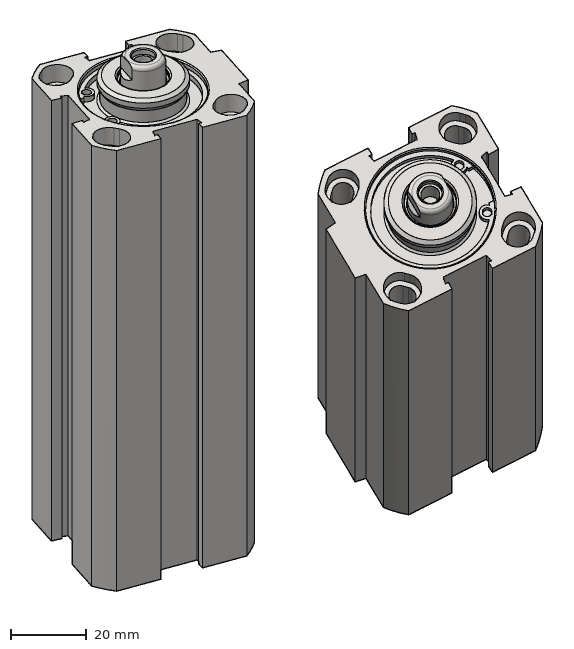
import cadquery as cq
import math

total_height = 150.5
housing_height = 139.5

half_width = 23.0
total_depth = 51.0
boss_height = 3.0
corner_radius = 30.0
boss_half_root = 8.5
boss_half_tip = 8.0

slot_floor = 19.0
slot_lip_inner = 20.9
slot_half_mouth = 6.3
slot_half_lip = 6.0
slot_half_undercut = 6.9
slot_half_floor = 6.5

mount_x = 16.5
mount_y = 17.5
mount_stretch = 1.5
mount_bore = 5.7
mount_counterbore = 8.6
mount_counterbore_depth = 5.5

seat_diameter = 34.2
seat_mouth = 34.9
seat_mouth_depth = 0.3
seat_depth = 22.5
ring_groove_diameter = 35.8

ring_top_depth = 1.5
ring_thickness = 1.7
ring_inner = 31.5
ring_half_gap = 5.5
ring_lug_x = 7.7
ring_lug_y = 13.0
ring_lug_radius = 2.1
ring_lug_hole = 2.5

collar_top = 144.2
collar_diameter = 24.5
collar_neck = 23.0
collar_foot_height = 0.5
collar_face_diameter = 22.1
collar_chamfer_bottom = 143.5
collar_cone_top = 141.8
collar_cone_bottom = 140.5
wiper_recess = 14.0
wiper_recess_mouth = 14.9
wiper_recess_depth = 1.5
wiper_lip = 13.7
wiper_lip_height = 0.6
rod_hole = 12.5

rod_diameter = 12.0
rod_tip_rounding = 1.2
flat_offset = 5.0
flat_bottom = 146.1
tap_diameter = 5.0
tap_depth = 9.0
tap_relief_diameter = 6.3
tap_relief_depth = 1.8
tap_mouth = 6.9
drill_point_angle = 170.0

half_depth = (total_depth - boss_height) / 2
boss_face = half_depth + boss_height
ring_top = housing_height - ring_top_depth
ring_bottom = ring_top - ring_thickness
seat_bottom = housing_height - seat_depth
seat_radius = seat_diameter / 2
groove_radius = ring_groove_diameter / 2
rod_radius = rod_diameter / 2


def revolved(points):
    """Solid of revolution about Z from (radius, height) points."""
    return cq.Workplane("XZ").polyline(points).close().revolve(360, (0, 0), (0, 1))


def cylinder(diameter, bottom, top):
    return cq.Workplane("XY").workplane(offset=bottom).circle(diameter / 2).extrude(top - bottom)


def housing_block():
    """Rectangular bar with corners rounded about the axis and a tapered boss on +Y."""
    bar = cq.Workplane("XY").rect(2 * half_width, 2 * half_depth).extrude(housing_height)
    bar = bar.intersect(cylinder(2 * corner_radius, 0, housing_height))
    boss = (
        cq.Workplane("XY")
        .polyline([
            (-boss_half_root, 0),
            (-boss_half_root, half_depth),
            (-boss_half_tip, boss_face),
            (boss_half_tip, boss_face),
            (boss_half_root, half_depth),
            (boss_half_root, 0),
        ])
        .close()
        .extrude(housing_height)
    )
    return bar.union(boss)


def sensor_slot(angle):
    """Undercut slot along the full height, facing -Y at angle zero and turned about Z."""
    half = [
        (slot_half_mouth, -boss_face),
        (slot_half_lip, -slot_lip_inner),
        (slot_half_undercut, -slot_lip_inner),
        (slot_half_floor, -slot_floor),
    ]
    mirrored = [(-x, y) for x, y in reversed(half)]
    slot = cq.Workplane("XY").polyline(half + mirrored).close().extrude(housing_height)
    return slot.rotate((0, 0, 0), (0, 0, 1), angle)


def mounting_hole(x_side, y_side):
    """Stretched through hole with a stretched counterbore at the top."""
    angle = -45 * x_side * y_side

    def stretched(diameter, bottom):
        return (
            cq.Workplane("XY")
            .workplane(offset=bottom)
            .center(x_side * mount_x, y_side * mount_y)
            .slot2D(diameter + mount_stretch, diameter, angle)
            .extrude(housing_height - bottom)
        )

    counterbore_floor = housing_height - mount_counterbore_depth
    return stretched(mount_bore, 0).union(stretched(mount_counterbore, counterbore_floor))


def cover_seat():
    """Blind bore for the cover, with a chamfered mouth and the groove for the retaining ring."""
    return revolved([
        (0, seat_bottom),
        (seat_radius, seat_bottom),
        (seat_radius, ring_bottom),
        (groove_radius, ring_bottom),
        (groove_radius, ring_top),
        (seat_radius, ring_top),
        (seat_radius, housing_height - seat_mouth_depth),
        (seat_mouth / 2, housing_height),
        (0, housing_height),
    ])


def make_housing():
    housing = housing_block()
    for angle in (-90, 0, 90):
        housing = housing.cut(sensor_slot(angle))
    for x_side in (-1, 1):
        for y_side in (-1, 1):
            housing = housing.cut(mounting_hole(x_side, y_side))
    return housing.cut(cover_seat())


def make_cover():
    """Disc seated in the housing below the ring, with a raised collar around the rod.

    The collar rises from a small conical foot and is undercut below its rim. Around the rod its
    top has a stepped wiper recess.
    """
    mouth_depth = (wiper_recess_mouth - wiper_recess) / 2
    recess_bottom = collar_top - wiper_recess_depth
    return revolved([
        (rod_hole / 2, seat_bottom),
        (seat_radius, seat_bottom),
        (seat_radius, ring_bottom),
        (collar_diameter / 2, ring_bottom),
        (collar_neck / 2, ring_bottom + collar_foot_height),
        (collar_neck / 2, collar_cone_bottom),
        (collar_diameter / 2, collar_cone_top),
        (collar_diameter / 2, collar_chamfer_bottom),
        (collar_face_diameter / 2, collar_top),
        (wiper_recess_mouth / 2, collar_top),
        (wiper_recess / 2, collar_top - mouth_depth),
        (wiper_recess / 2, recess_bottom + wiper_lip_height),
        (wiper_lip / 2, recess_bottom + wiper_lip_height),
        (wiper_lip / 2, recess_bottom),
        (rod_hole / 2, recess_bottom),
    ])


def make_ring():
    """Open ring with two drilled lugs beside its gap on the -Y side."""
    lug_centres = [(-ring_lug_x, -ring_lug_y), (ring_lug_x, -ring_lug_y)]
    base = cq.Workplane("XY").workplane(offset=ring_bottom)
    ring = base.circle(groove_radius).circle(ring_inner / 2).extrude(ring_thickness)
    gap = base.center(0, -groove_radius).rect(2 * ring_half_gap, groove_radius).extrude(ring_thickness)
    lugs = base.pushPoints(lug_centres).circle(ring_lug_radius).extrude(ring_thickness)
    holes = base.pushPoints(lug_centres).circle(ring_lug_hole / 2).extrude(ring_thickness)
    return ring.cut(gap).union(lugs).cut(holes)


def tapped_hole():
    """Blind hole in the rod end with a wider, chamfered relief at its mouth and a shallow conical bottom."""
    tap_radius = tap_diameter / 2
    tap_bottom = total_height - tap_depth
    point_height = tap_radius / math.tan(math.radians(drill_point_angle / 2))
    mouth_depth = (tap_mouth - tap_relief_diameter) / 2
    relief_bottom = total_height - tap_relief_depth
    return revolved([
        (0, tap_bottom - point_height),
        (tap_radius, tap_bottom),
        (tap_radius, relief_bottom),
        (tap_relief_diameter / 2, relief_bottom),
        (tap_relief_diameter / 2, total_height - mouth_depth),
        (tap_mouth / 2, total_height),
        (0, total_height),
    ])


def wrench_flat(side):
    """Cutter for a flat facing the given Y side, running out at 45 degrees at its lower end."""
    cut_depth = rod_radius - flat_offset
    return (
        cq.Workplane("YZ")
        .polyline([
            (side * flat_offset, flat_bottom),
            (side * rod_radius, flat_bottom - cut_depth),
            (side * rod_radius, total_height),
            (side * flat_offset, total_height),
        ])
        .close()
        .extrude(rod_radius, both=True)
    )


def make_rod():
    rod = revolved([
        (0, seat_bottom),
        (rod_radius, seat_bottom),
        (rod_radius, total_height),
        (0, total_height),
    ])
    rod = rod.faces(">Z").edges().fillet(rod_tip_rounding)
    for side in (-1, 1):
        rod = rod.cut(wrench_flat(side))
    return rod.cut(tapped_hole())


housing = make_housing()
cover = make_cover()
retaining_ring = make_ring()
piston_rod = make_rod()

result = cq.Compound.makeCompound([
    housing.val(),
    cover.val(),
    retaining_ring.val(),
    piston_rod.val(),
])